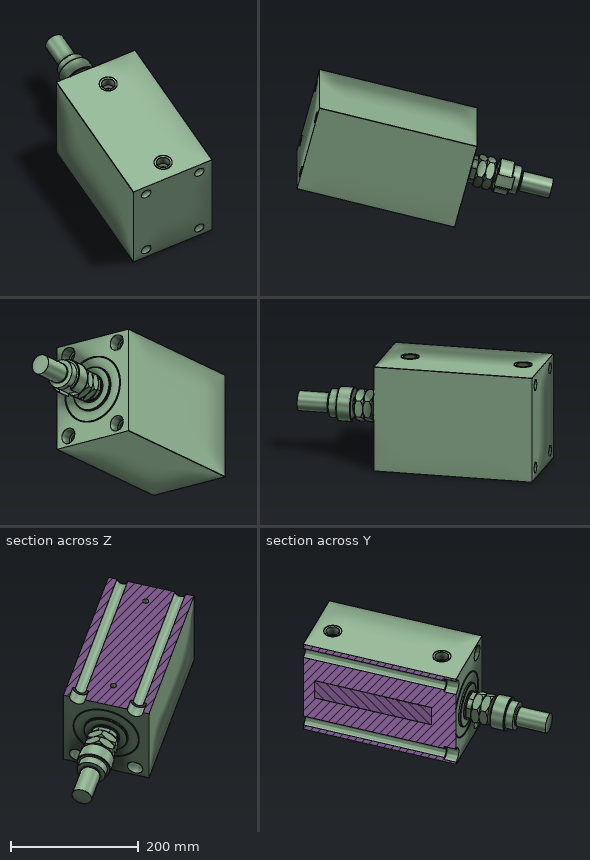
import cadquery as cq
import math


total_length = 392.0
block_length = 254.8
block_width = 140.0
block_height = 170.0
block_edge_chamfer = 0.5
wiper_ring_diameter = 71.5
wiper_ring_height = 3.5
wiper_ring_chamfer = 1.0
groove_outer_diameter = 107.5
groove_width = 1.0
groove_depth = 0.8

mount_spacing_y = 94.0
mount_spacing_z = 135.0
mount_diameter = 17.0
mount_head_diameter = 25.0
mount_head_depth = 19.5

front_port_x = 41.0
rear_port_x = 223.0
port_spotface_diameter = 28.2
port_spotface_depth = 0.8
port_diameter = 21.0
port_depth = 15.5
feed_diameter = 8.2

piston_diameter = 100.0
rear_wall = 19.5
rod_diameter = 45.5
rod_chamfer_length = 1.0
rod_shoulder_x = -6.5
rod_neck_diameter = 44.0
rod_flats = 40.0
thread_diameter = 22.0

nut_count = 2
hexagon_sides = 6
nut_across_flats = 46.0
nut_length = 14.0
nuts_front_x = -43.5

rod_tip_x = -46.0
sleeve_rear_x = -48.5
sleeve_front_x = -72.0
sleeve_diameter = 55.0
sleeve_chamfer = 1.0
collar_front_x = -85.0
collar_diameter = nut_across_flats
stud_neck_x = -87.5
stud_neck_diameter = 29.8
stud_diameter = 32.0
slot_front_x = -76.0
slot_width = 21.5
slot_floor_radius = 19.5

stud_end_x = block_length - total_length
chamber_start_x = front_port_x
chamber_end_x = block_length - rear_wall
half_corner_angle = 180 / hexagon_sides
nuts_rear_x = nuts_front_x + nut_count * nut_length


def cylinder_x(start_x, end_x, diameter):
    """Cylinder on the rod axis between two X positions."""
    return cq.Workplane("YZ", origin=(start_x, 0, 0)).circle(diameter / 2).extrude(end_x - start_x)


def bore_down(x, top_z, depth, diameter):
    """Vertical cutting cylinder that goes down from top_z."""
    return cq.Workplane("XY", origin=(x, 0, top_z)).circle(diameter / 2).extrude(-depth)


def revolve_x(outline):
    """Turn a closed (x, radius) outline around the rod axis."""
    return cq.Workplane("XY").polyline(outline).close().revolve(360, (0, 0, 0), (1, 0, 0))


def cut_mounting_holes(block):
    return (
        block.faces("<X").workplane(origin=(0, 0, 0))
        .rect(mount_spacing_y, mount_spacing_z, forConstruction=True)
        .vertices()
        .cboreHole(mount_diameter, mount_head_diameter, mount_head_depth)
    )


def cut_port(block, x):
    """Port with a shallow spotface and a feed hole down to the chamber."""
    top_z = block_height / 2
    block = block.cut(bore_down(x, top_z, port_spotface_depth, port_spotface_diameter))
    block = block.cut(bore_down(x, top_z, port_depth, port_diameter))
    return block.cut(bore_down(x, top_z, top_z - piston_diameter / 2, feed_diameter))


def rod_space():
    """Room the rod and its piston take up inside the housing."""
    passage = cylinder_x(-wiper_ring_height, chamber_start_x, rod_diameter)
    chamber = cylinder_x(chamber_start_x, chamber_end_x, piston_diameter)
    return passage.union(chamber)


def make_housing():
    block = cq.Workplane("XY").box(block_length, block_width, block_height, centered=(False, True, True))
    block = block.edges("|X").chamfer(block_edge_chamfer)
    block = cut_mounting_holes(block)
    groove_inner_diameter = groove_outer_diameter - 2 * groove_width
    groove = cylinder_x(0, groove_depth, groove_outer_diameter).cut(
        cylinder_x(0, groove_depth, groove_inner_diameter)
    )
    block = block.cut(groove)
    wiper_ring = cylinder_x(-wiper_ring_height, 0, wiper_ring_diameter)
    wiper_ring = wiper_ring.faces("<X").edges().chamfer(wiper_ring_chamfer)
    block = block.union(wiper_ring)
    for port_x in (front_port_x, rear_port_x):
        block = cut_port(block, port_x)
    return block.cut(rod_space())


def make_rod():
    """Threaded tip, neck with four wrench flats, plain rod and piston."""
    neck = cylinder_x(nuts_rear_x, rod_shoulder_x, rod_neck_diameter)
    wrench_square = cq.Workplane("YZ", origin=(nuts_rear_x, 0, 0)).rect(rod_flats, rod_flats)
    neck = neck.intersect(wrench_square.extrude(rod_shoulder_x - nuts_rear_x))
    turned = revolve_x([
        (rod_tip_x, 0),
        (rod_tip_x, thread_diameter / 2),
        (rod_shoulder_x, thread_diameter / 2),
        (rod_shoulder_x, rod_neck_diameter / 2),
        (rod_shoulder_x + rod_chamfer_length, rod_diameter / 2),
        (chamber_start_x, rod_diameter / 2),
        (chamber_start_x, piston_diameter / 2),
        (chamber_end_x, piston_diameter / 2),
        (chamber_end_x, 0),
    ])
    return turned.union(neck)


def make_nut(front_x):
    """Hexagon nut with flats facing Y and 45 degree chamfers at both ends."""
    corner_diameter = nut_across_flats / math.cos(math.radians(half_corner_angle))
    chamfer = (corner_diameter - nut_across_flats) / 2
    hexagon = (
        cq.Workplane("YZ", origin=(front_x, 0, 0))
        .transformed(rotate=(0, 0, half_corner_angle))
        .polygon(hexagon_sides, corner_diameter)
        .extrude(nut_length)
    )
    chamfered_round = cylinder_x(front_x, front_x + nut_length, corner_diameter).edges().chamfer(chamfer)
    thread = cylinder_x(front_x, front_x + nut_length, thread_diameter)
    return hexagon.intersect(chamfered_round).cut(thread)


def make_coupling():
    """Stud, collar, sleeve with a slot at the bottom, and a short hub."""
    stud_chamfer = (stud_diameter - stud_neck_diameter) / 2
    stud = cylinder_x(stud_end_x, stud_neck_x, stud_diameter).faces(">X").edges().chamfer(stud_chamfer)
    stud_neck = cylinder_x(stud_neck_x, collar_front_x, stud_neck_diameter)
    collar = cylinder_x(collar_front_x, sleeve_front_x, collar_diameter)
    sleeve = cylinder_x(sleeve_front_x, sleeve_rear_x, sleeve_diameter).edges().chamfer(sleeve_chamfer)
    hub = cylinder_x(sleeve_rear_x, rod_tip_x, thread_diameter)
    slot_length = sleeve_rear_x - slot_front_x
    slot_depth = sleeve_diameter / 2 - slot_floor_radius
    slot = cq.Workplane("XY", origin=(slot_front_x, 0, -sleeve_diameter / 2))
    slot = slot.box(slot_length, slot_width, slot_depth, centered=(False, True, False))
    return stud.union(stud_neck).union(collar).union(sleeve).union(hub).cut(slot)


housing = make_housing()
rod = make_rod()
nuts = [make_nut(nuts_front_x + index * nut_length) for index in range(nut_count)]
coupling = make_coupling()

result = cq.Compound.makeCompound([
    housing.val(),
    rod.val(),
    *[nut.val() for nut in nuts],
    coupling.val(),
])